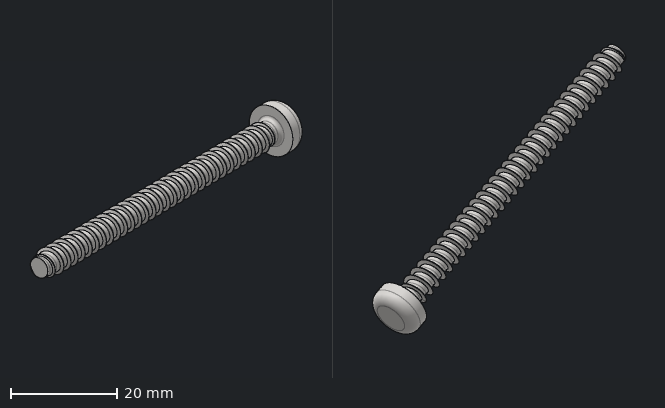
import cadquery as cq
import math


total_length = 74.2
head_diameter = 10.5
head_height = 4.2
crown_radius = head_height / 2

shank_length = total_length - head_height
neck_diameter = 4.7
neck_length = 1.55
neck_fillet = 0.8
core_diameter = 4.2
core_taper_length = 0.75

thread_diameter = 6.0
thread_turns = 32
thread_pitch = (shank_length - neck_length) / thread_turns
ridge_base_width = 0.5
ridge_crest_width = 0.1
root_slope_length = 0.8
root_slope_height = 0.2
root_depth = 0.1
ridge_overlap = 0.3
start_angle = -90
rise_start_turn = -0.5
rise_end_turn = 0.8
fade_turns = 1.3
fade_start_turn = thread_turns - fade_turns

head_radius = head_diameter / 2
neck_radius = neck_diameter / 2
core_radius = core_diameter / 2
thread_radius = thread_diameter / 2
root_radius = core_radius - root_depth
inner_radius = core_radius - ridge_overlap


def make_blank():
    """Head, neck and core as one turned body."""
    fillet_inset = neck_fillet * (1 - math.cos(math.radians(45)))
    return (
        cq.Workplane("XZ")
        .moveTo(0, shank_length)
        .lineTo(core_radius, shank_length)
        .lineTo(core_radius, neck_length + core_taper_length)
        .lineTo(neck_radius, neck_length)
        .lineTo(neck_radius, neck_fillet)
        .threePointArc((neck_radius + fillet_inset, fillet_inset), (neck_radius + neck_fillet, 0))
        .lineTo(head_radius, 0)
        .lineTo(head_radius, crown_radius - head_height)
        .tangentArcPoint((head_radius - crown_radius, -head_height), relative=False)
        .lineTo(0, -head_height)
        .close()
        .revolve(360, (0, 0, 0), (0, 1, 0))
    )


def ridge_profile():
    """(radius, axial offset) points of the full-height ridge, from head side to tip side."""
    half_base = ridge_base_width / 2
    half_crest = ridge_crest_width / 2
    flank_run = (half_base - half_crest) / (thread_radius - core_radius)
    slope_run = root_slope_length / root_slope_height
    head_foot = -half_base - flank_run * root_depth
    tip_foot = half_base + root_slope_length + slope_run * root_depth
    return [
        (inner_radius, head_foot),
        (root_radius, head_foot),
        (thread_radius, -half_crest),
        (thread_radius, half_crest),
        (core_radius + root_slope_height, half_base),
        (root_radius, tip_foot),
        (inner_radius, tip_foot),
    ]


def faded_profile():
    """The ridge profile pressed down until nothing stands above the core."""
    return [(min(radius, root_radius), offset) for radius, offset in ridge_profile()]


def place_at_turn(shape, turn):
    """Move a shape built at the +X start of a helix to its place on the thread."""
    angle = start_angle + 360 * turn
    turned = shape.rotate(cq.Vector(0, 0, 0), cq.Vector(0, 0, 1), angle)
    return turned.translate(cq.Vector(0, 0, neck_length + thread_pitch * turn))


def spiral(start_radius, end_radius, offset, start_turn, end_turn):
    """Right-hand helical edge, on a cylinder or a cone."""
    rise = thread_pitch * (end_turn - start_turn)
    start = cq.Vector(0, 0, offset)
    if start_radius == end_radius:
        helix = cq.Wire.makeHelix(thread_pitch, rise, start_radius, center=start)
    else:
        cone_angle = math.atan2(end_radius - start_radius, rise)
        slant = 1 / math.cos(cone_angle)
        helix = cq.Wire.makeHelix(
            thread_pitch * slant, rise * slant, start_radius, center=start, angle=math.degrees(cone_angle)
        )
    return place_at_turn(helix, start_turn).Edges()[0]


def ridge_sides(start_profile, end_profile, start_turn, end_turn):
    """Ruled helical faces that carry one profile into the other."""
    spirals = [
        spiral(start_radius, end_radius, offset, start_turn, end_turn)
        for (start_radius, offset), (end_radius, _) in zip(start_profile, end_profile)
    ]
    neighbours = spirals[1:] + spirals[:1]
    return [cq.Face.makeRuledSurface(near, far) for near, far in zip(spirals, neighbours)]


def ridge_end(profile, turn):
    """Flat face that closes the ridge."""
    corners = [cq.Vector(radius, 0, offset) for radius, offset in profile]
    face = cq.Face.makeFromWires(cq.Wire.makePolygon(corners, close=True))
    return place_at_turn(face, turn)


def make_thread():
    """Thread ridge that rises out of the neck and fades into the core at the tip."""
    full = ridge_profile()
    faded = faded_profile()
    faces = [ridge_end(faded, rise_start_turn)]
    faces += ridge_sides(faded, full, rise_start_turn, rise_end_turn)
    faces += ridge_sides(full, full, rise_end_turn, fade_start_turn)
    faces += ridge_sides(full, faded, fade_start_turn, thread_turns)
    faces.append(ridge_end(faded, thread_turns))
    ridge = cq.Solid.makeSolid(cq.Shell.makeShell(faces))
    return cq.Workplane(obj=ridge)


def make_tip_trim():
    """Oversized disc beyond the flat tip, covering the overhanging ridge foot."""
    return (
        cq.Workplane("XY")
        .workplane(offset=shank_length)
        .circle(thread_diameter)
        .extrude(2 * thread_pitch)
    )


screw = make_blank().union(make_thread()).cut(make_tip_trim())
result = screw.rotate((0, 0, 0), (1, 0, 0), 90)